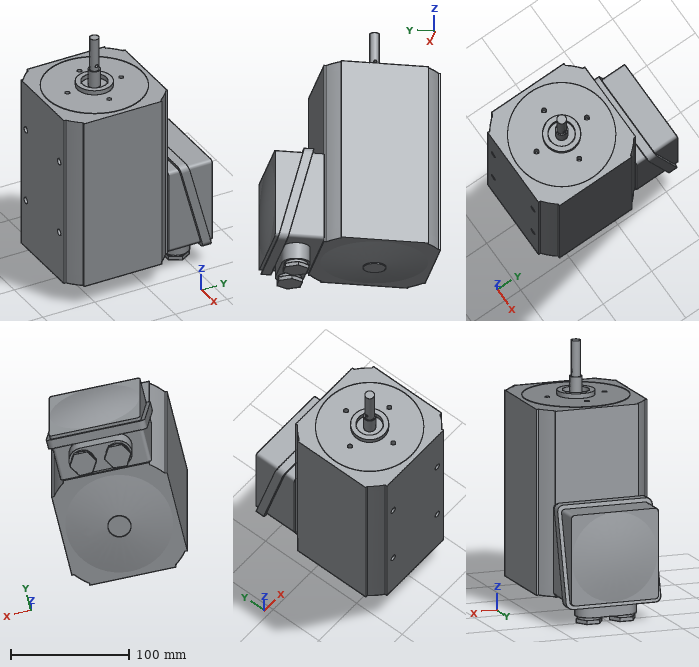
import cadquery as cq
import math


body_width = 100.0
body_height = 161.5
side_flat = 74.8
corner_radius = 61.0
lower_cap_height = 9.5
upper_cap_height = 7.7
mount_hole_diameter = 5.7
mount_hole_depth = 9.0
mount_hole_spacing_x = 58.2
mount_hole_spacing_z = 70.0
mount_hole_center_z = 81.5

flange_diameter = 91.5
flange_height = 0.5
flange_hole_diameter = 4.0
flange_hole_circle = 51.9
flange_hole_depth = 9.0
spigot_outer_diameter = 32.3
spigot_inner_diameter = 23.0
spigot_height = 4.0
shaft_diameter = 10.5
shaft_shoulder_height = 16.4
shaft_tip_diameter = 8.2
shaft_tip_height = 47.5
cross_hole_diameter = 2.5
cross_hole_z = 182.7

rear_dome_diameter = 91.0
rear_dome_height = 4.0
rear_button_diameter = 19.5
rear_button_drop = 5.0

box_width = 78.7
box_depth = 42.0
box_center_z = 41.2
box_corner_radius = 3.0
lid_dome_diameter = 77.4
lid_dome_height = 3.5

band_overhang = 3.5
band_corner_radius = 5.5
band_thickness = 8.0
band_tilt = 15.0
band_center_y = 74.6

gland_spacing = 30.0
gland_y = 70.0
gland_base_width = 24.1
gland_base_bottom_z = -12.5
gland_neck_diameter = 20.0
gland_neck_height = 2.5
nut_across_flats = 20.0
nut_height = 3.5

body_half = body_width / 2
box_end_y = body_half + box_depth
box_bottom_z = box_center_z - box_width / 2


def cylinder(diameter, bottom_z, top_z):
    """Cylinder on the motor axis between two heights."""
    return cq.Workplane("XY").workplane(offset=bottom_z).circle(diameter / 2).extrude(top_z - bottom_z)


def body_slice(bottom_z, height):
    """Square section with recessed round corners concentric with the motor axis."""
    base = cq.Workplane("XY").workplane(offset=bottom_z)
    square = base.rect(body_width, body_width).extrude(height)
    rounded = base.circle(corner_radius).extrude(height).intersect(square)
    along_x = base.rect(body_width, side_flat).extrude(height)
    along_y = base.rect(side_flat, body_width).extrude(height)
    return rounded.union(along_x).union(along_y)


def dome(diameter, height):
    """Spherical cap standing on Z = 0 and bulging toward +Z."""
    sphere_radius = ((diameter / 2) ** 2 + height**2) / (2 * height)
    return (
        cq.Workplane("XZ")
        .moveTo(0, 0)
        .lineTo(diameter / 2, 0)
        .radiusArc((0, height), -sphere_radius)
        .close()
        .revolve(360, (0, 0, 0), (0, 1, 0))
    )


def box_prism(width, radius, start_y, end_y):
    """Rounded square prism along Y, centred on the terminal box."""
    return (
        cq.Workplane("XY")
        .box(width, end_y - start_y, width)
        .edges("|Y")
        .fillet(radius)
        .translate((0, (start_y + end_y) / 2, box_center_z))
    )


def make_body():
    upper_cap_z = body_height - upper_cap_height
    lower_cap = body_slice(0, lower_cap_height)
    barrel = body_slice(lower_cap_height, upper_cap_z - lower_cap_height)
    upper_cap = body_slice(upper_cap_z, upper_cap_height)
    body = barrel.union(lower_cap, clean=False).union(upper_cap, clean=False)
    holes = (
        cq.Workplane("XZ", origin=(0, -body_half, mount_hole_center_z))
        .rarray(mount_hole_spacing_x, mount_hole_spacing_z, 2, 2)
        .circle(mount_hole_diameter / 2)
        .extrude(-mount_hole_depth)
    )
    return body.cut(holes, clean=False)


def make_flange():
    flange_top_z = body_height + flange_height
    spigot_top_z = flange_top_z + spigot_height
    flange = cylinder(flange_diameter, body_height, flange_top_z)
    spigot = cylinder(spigot_outer_diameter, flange_top_z, spigot_top_z)
    bore = cylinder(spigot_inner_diameter, flange_top_z, spigot_top_z)
    return flange.union(spigot.cut(bore))


def make_flange_holes():
    return (
        cq.Workplane("XY")
        .workplane(offset=body_height + flange_height)
        .polarArray(flange_hole_circle / 2, 0, 360, 4)
        .circle(flange_hole_diameter / 2)
        .extrude(-flange_hole_depth)
    )


def make_shaft():
    shoulder_z = body_height + shaft_shoulder_height
    journal = cylinder(shaft_diameter, body_height, shoulder_z)
    tip = cylinder(shaft_tip_diameter, shoulder_z, body_height + shaft_tip_height)
    cross_hole = (
        cq.Workplane("YZ", origin=(0, 0, cross_hole_z))
        .circle(cross_hole_diameter / 2)
        .extrude(shaft_diameter, both=True)
    )
    return journal.union(tip).cut(cross_hole)


def make_rear_cover():
    cover = dome(rear_dome_diameter, rear_dome_height).rotate((0, 0, 0), (1, 0, 0), 180)
    button = cylinder(rear_button_diameter, -rear_button_drop, 0)
    return cover.union(button)


def make_terminal_box():
    box = box_prism(box_width, box_corner_radius, body_half, box_end_y)
    lid = (
        dome(lid_dome_diameter, lid_dome_height)
        .rotate((0, 0, 0), (1, 0, 0), -90)
        .translate((0, box_end_y, box_center_z))
    )
    return box.union(lid)


def make_band():
    band_width = box_width + 2 * band_overhang
    prism = box_prism(band_width, band_corner_radius, body_half, box_end_y)
    slab = (
        cq.Workplane("XY")
        .box(2 * band_width, band_thickness, 2 * band_width)
        .rotate((0, 0, 0), (1, 0, 0), band_tilt)
        .translate((0, band_center_y, box_center_z))
    )
    return prism.intersect(slab)


def make_glands():
    neck_bottom_z = gland_base_bottom_z - gland_neck_height
    base = (
        cq.Workplane("XY", origin=(0, gland_y, gland_base_bottom_z))
        .slot2D(gland_spacing + gland_base_width, gland_base_width)
        .extrude(box_bottom_z + box_corner_radius - gland_base_bottom_z)
    )
    nut_across_corners = nut_across_flats / math.cos(math.pi / 6)
    glands = base
    for x in (-gland_spacing / 2, gland_spacing / 2):
        neck = (
            cq.Workplane("XY", origin=(x, gland_y, neck_bottom_z))
            .circle(gland_neck_diameter / 2)
            .extrude(gland_neck_height)
        )
        nut = (
            cq.Workplane("XY", origin=(x, gland_y, neck_bottom_z))
            .polygon(6, nut_across_corners)
            .extrude(-nut_height)
        )
        glands = glands.union(neck).union(nut)
    return glands


terminal_box = make_terminal_box().union(make_band()).union(make_glands())

result = make_body()
for attached in (make_flange(), make_shaft(), make_rear_cover(), terminal_box):
    result = result.union(attached, clean=False)
result = result.cut(make_flange_holes(), clean=False)